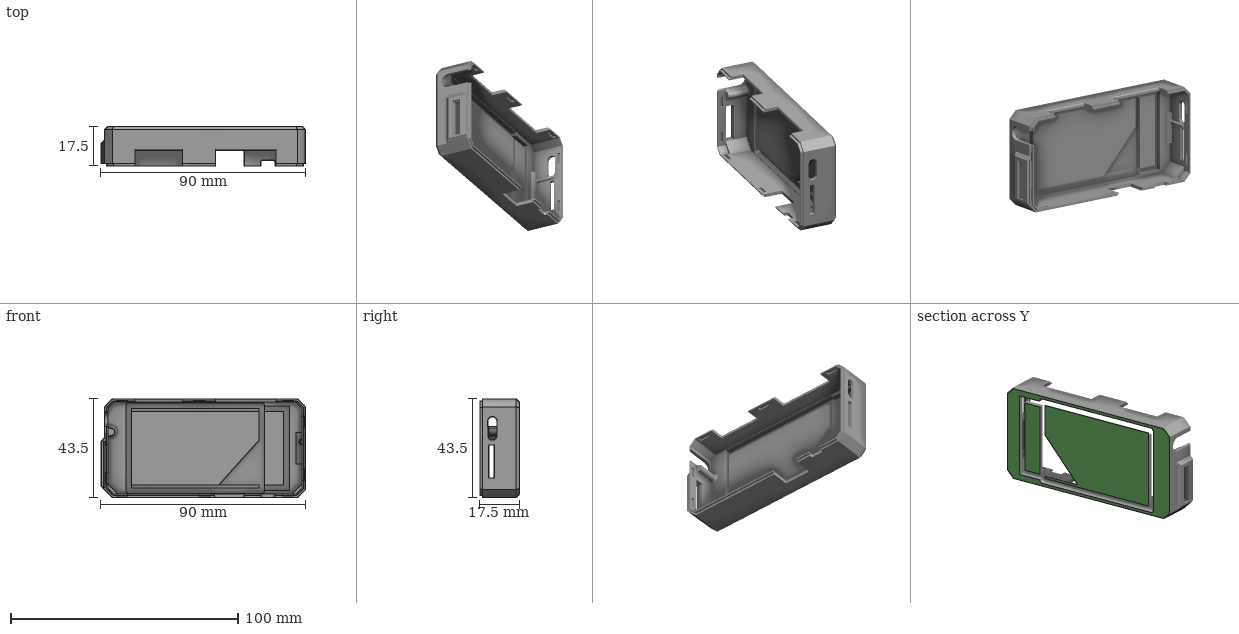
import cadquery as cq
import math


OVERALL_LENGTH = 90.0
GUIDE_PROTRUSION = 1.5
LENGTH = OVERALL_LENGTH - GUIDE_PROTRUSION
HEIGHT = 43.5
DEPTH = 17.5
CORNER = 3.5
BACK_CHAMFER = 1.5
WALL = 1.5
LIP_INSET = 0.9
LIP_DEPTH = 1.05
FLOOR_Y = 14.1
BOARD_Y = 4.0
OVERCUT = 1.0

INNER_RIGHT = LENGTH - WALL

DISPLAY_X = (9.4, 70.5)
DISPLAY_MARGIN = 1.8
DISPLAY_CORNER = 1.2
DISPLAY_FLOOR_Y = 16.7
CHANNEL_X_END = 81.5
CHANNEL_MARGIN = 3.2
CHANNEL_FLOOR_Y = 16.45
ISLAND_X_END = 78.8
SLAB_X = (11.8, 67.95)
SLAB_MARGIN = 5.65
SLAB_CUT_X = 50.4
SLAB_CUT_Z = 25.05
RIDGE_WIDTH = 1.35
RIDGE_HEIGHT = 0.8

TOP_NOTCHES_X = ((13.5, 34.35), (49.0, 75.6))
TOP_NOTCH_DEPTH = 6.8
TOP_NOTCH_ROUND = 0.6
BOTTOM_NOTCH_X = (48.4, 61.5)
BOTTOM_NOTCH_DEPTH = 9.3
PLUG_NOTCH_X = (68.85, 75.0)
PLUG_NOTCH_DEPTH = 2.5
PLUG_NOTCH_ROUND = 0.6

SNAP_LENGTH = 5.0
SNAP_END_Y = 2.5
SNAP_WALL_LEFT = 0.7
SNAP_END_OFFSET = 7.7
SNAP_TOP_MIDDLE_X = sum((TOP_NOTCHES_X[0][1], TOP_NOTCHES_X[1][0])) / 2
SNAP_BOTTOM_MIDDLE_X = 44.1
SNAP_RIGHT_OFFSET = 10.0
SNAP_LEFT_Z = (8.5, 25.7)

SIDE_SLOT_Z = (31.4, 37.85)
SIDE_SLOT_END_Y = 14.1
GUIDE_TOP = 26.3
GUIDE_BACK_Y = 11.45
GUIDE_STEP = 0.1
CARD_GAP_X = (-0.37, 0.17)
CARD_GAP_Z = (4.4, 24.7)
CARD_GAP_END_Y = 9.0
GUIDE_WINDOW_Y = (4.0, 7.9)
GUIDE_WINDOW_Z = (5.9, 23.05)
WALL_WINDOW_BOTTOM = 6.2

VENT_Y = (GUIDE_WINDOW_Y[0], 6.3)
VENT_Z = (8.7, GUIDE_WINDOW_Z[1])
RIGHT_HOLE_Y = 5.5
RIGHT_HOLE_WIDTH = 4.0
RIGHT_HOLE_Z = (25.4, 35.6)

LEFT_POST_X = 2.9
LEFT_POST_Z = 28.9
LEFT_POST_RADIUS = 1.6
LEFT_POST_FLARE = 1.4
PAD_Z = (14.85, 28.65)
PAD_WIDTH = 2.75
PAD_RISE = 1.45
PIN_Z = 24.6
PIN_RADIUS = 0.8
PIN_FLARE = 0.5
GUSSET_LEG = 4.5


def box(x_range, y_range, z_range):
    """Axis-aligned block from its limits."""
    size = [high - low for low, high in (x_range, y_range, z_range)]
    corner = (x_range[0], y_range[0], z_range[0])
    return cq.Workplane("XY").box(*size, centered=False).translate(corner)


def at_y(y):
    """Sketch plane in X and Z at the given Y; a negative extrusion goes toward +Y."""
    return cq.Workplane("XZ", origin=(0, y, 0))


def prism(points, y_range):
    """Straight prism along Y over a polygon in X and Z."""
    return at_y(y_range[0]).polyline(points).close().extrude(y_range[0] - y_range[1])


def case_outline(y, inset):
    """Chamfered outline of the body, moved inward by the inset, at the given Y."""
    corner = CORNER - inset * (2 - math.sqrt(2))
    left, right = inset, LENGTH - inset
    bottom, top = inset, HEIGHT - inset
    points = [
        (left + corner, bottom), (right - corner, bottom),
        (right, bottom + corner), (right, top - corner),
        (right - corner, top), (left + corner, top),
        (left, top - corner), (left, bottom + corner),
    ]
    return at_y(y).polyline(points).close()


def mirrored_range(margin):
    """Z limits at equal distances from the bottom and top faces."""
    return (margin, HEIGHT - margin)


def arc_inset(radius):
    """Distance of a quarter arc's midpoint from the two lines it is tangent to."""
    return radius * (1 - math.sqrt(0.5))


def shell():
    body = case_outline(LIP_DEPTH, 0).extrude(LIP_DEPTH - DEPTH)
    body = body.faces(">Y").chamfer(BACK_CHAMFER)
    lip = case_outline(0, LIP_INSET).extrude(-LIP_DEPTH)
    return body.union(lip).union(card_guide())


def cavity():
    return case_outline(-OVERCUT, WALL).extrude(-OVERCUT - FLOOR_Y)


def card_guide():
    """Two stacked layers on the left wall, bevelled at 45 degrees on the top, bottom and back."""
    middle = GUIDE_PROTRUSION / 2
    inner = card_guide_layer(0, middle, 0)
    return inner.union(card_guide_layer(middle, GUIDE_PROTRUSION, GUIDE_STEP))


def card_guide_layer(start, end, inset):
    """Slice of the guide between two distances out from the left face of the body."""
    foot_top = GUIDE_TOP - inset
    foot_bottom = CORNER + inset
    foot_back = GUIDE_BACK_Y - inset
    layer = prism(
        [
            (-start, foot_bottom + start), (-end, foot_bottom + end),
            (-end, foot_top - end), (-start, foot_top - start),
        ],
        (LIP_DEPTH, foot_back - start),
    )
    back_bevel = (
        cq.Workplane("XY")
        .polyline([(-start, foot_back - start), (-end, foot_back - end), (-end, foot_back - start)])
        .close()
        .extrude(HEIGHT)
    )
    return layer.cut(back_bevel)


def back_pockets():
    """Display pocket and the channel beside it, with the slab, island and ridges left standing."""
    display = box(DISPLAY_X, (FLOOR_Y - OVERCUT, DISPLAY_FLOOR_Y), mirrored_range(DISPLAY_MARGIN))
    display = display.edges("|Y").fillet(DISPLAY_CORNER)

    channel_y = (FLOOR_Y - OVERCUT, CHANNEL_FLOOR_Y)
    channel = box((DISPLAY_X[1], CHANNEL_X_END), channel_y, mirrored_range(CHANNEL_MARGIN))
    island = box((DISPLAY_X[1], ISLAND_X_END), (FLOOR_Y, CHANNEL_FLOOR_Y), mirrored_range(SLAB_MARGIN))

    slab_bottom, slab_top = mirrored_range(SLAB_MARGIN)
    slab = prism(
        [
            (SLAB_X[0], slab_bottom), (SLAB_CUT_X, slab_bottom),
            (SLAB_X[1], SLAB_CUT_Z), (SLAB_X[1], slab_top), (SLAB_X[0], slab_top),
        ],
        (FLOOR_Y, DISPLAY_FLOOR_Y),
    )
    pockets = display.cut(slab).union(channel.cut(island))
    ridge_y = (DISPLAY_FLOOR_Y - RIDGE_HEIGHT, DISPLAY_FLOOR_Y)
    for ridge_bottom in (slab_bottom - RIDGE_WIDTH, slab_top):
        pockets = pockets.cut(box(SLAB_X, ridge_y, (ridge_bottom, ridge_bottom + RIDGE_WIDTH)))
    return pockets


def top_notch(x_range):
    """Rim opening in the top wall whose inner end is rounded over at the outer face."""
    radius = TOP_NOTCH_ROUND
    end = TOP_NOTCH_DEPTH
    arc_middle = arc_inset(radius)
    return (
        cq.Workplane("YZ", origin=(x_range[0], 0, 0))
        .moveTo(-OVERCUT, HEIGHT - WALL - OVERCUT)
        .lineTo(end, HEIGHT - WALL - OVERCUT)
        .lineTo(end, HEIGHT - radius)
        .threePointArc((end + arc_middle, HEIGHT - arc_middle), (end + radius, HEIGHT))
        .lineTo(end + radius, HEIGHT + OVERCUT)
        .lineTo(-OVERCUT, HEIGHT + OVERCUT)
        .close()
        .extrude(x_range[1] - x_range[0])
    )


def bottom_notches():
    wall_z = (-OVERCUT, WALL + OVERCUT)
    wide = box(BOTTOM_NOTCH_X, (-OVERCUT, BOTTOM_NOTCH_DEPTH), wall_z)
    plug = box(PLUG_NOTCH_X, (-OVERCUT, PLUG_NOTCH_DEPTH), wall_z)
    return wide.union(plug.faces(">Y").edges("|Z").fillet(PLUG_NOTCH_ROUND))


def snap_recesses():
    """Shallow recesses just behind the lip, opening into the cavity."""
    y_range = (LIP_DEPTH, SNAP_END_Y)
    half = SNAP_LENGTH / 2
    low = (SNAP_WALL_LEFT, WALL + OVERCUT)
    top = (HEIGHT - low[1], HEIGHT - low[0])
    right = (LENGTH - low[1], LENGTH - low[0])
    ends_x = (SNAP_END_OFFSET, LENGTH - SNAP_END_OFFSET)

    recesses = []
    for z_range, middle_x in ((low, SNAP_BOTTOM_MIDDLE_X), (top, SNAP_TOP_MIDDLE_X)):
        for x in (*ends_x, middle_x):
            recesses.append(box((x - half, x + half), y_range, z_range))
    for x_range, centers_z in ((low, SNAP_LEFT_Z), (right, mirrored_range(SNAP_RIGHT_OFFSET))):
        for z in centers_z:
            recesses.append(box(x_range, y_range, (z - half, z + half)))
    return recesses


def side_slot():
    """Round-ended slot through the left wall, open at the rim, also clearing the post's wall flare."""
    bottom, top = SIDE_SLOT_Z
    radius = (top - bottom) / 2
    arc_y = SIDE_SLOT_END_Y - radius
    return (
        cq.Workplane("YZ", origin=(-OVERCUT, 0, 0))
        .moveTo(-OVERCUT, bottom)
        .lineTo(arc_y, bottom)
        .threePointArc((SIDE_SLOT_END_Y, bottom + radius), (arc_y, top))
        .lineTo(-OVERCUT, top)
        .close()
        .extrude(OVERCUT + LEFT_POST_X + LEFT_POST_RADIUS)
    )


def card_guide_openings():
    """Card gap open to the front, and the window from outside through the gap into the cavity."""
    gap = box(CARD_GAP_X, (0, CARD_GAP_END_Y), CARD_GAP_Z)
    window = box((-GUIDE_PROTRUSION - OVERCUT, CARD_GAP_X[1]), GUIDE_WINDOW_Y, GUIDE_WINDOW_Z)
    wall_window_z = (WALL_WINDOW_BOTTOM, GUIDE_WINDOW_Z[1])
    wall_window = box((CARD_GAP_X[1], WALL + OVERCUT), GUIDE_WINDOW_Y, wall_window_z)
    return gap.union(window).union(wall_window)


def right_wall_openings():
    """Rectangular vent and a round-ended hole above it."""
    vent = box((INNER_RIGHT - OVERCUT, LENGTH + OVERCUT), VENT_Y, VENT_Z)
    hole_bottom, hole_top = RIGHT_HOLE_Z
    hole = (
        cq.Workplane("YZ", origin=(INNER_RIGHT - OVERCUT, RIGHT_HOLE_Y, (hole_bottom + hole_top) / 2))
        .slot2D(hole_top - hole_bottom, RIGHT_HOLE_WIDTH, 90)
        .extrude(WALL + 2 * OVERCUT)
    )
    return vent.union(hole)


def flare_profile(radius, flare, base_y):
    """Half-section of a round post that flares out with a concave arc at its base."""
    outer = radius + flare
    arc_middle = arc_inset(flare)
    return (
        cq.Workplane("XY")
        .moveTo(0, BOARD_Y)
        .lineTo(radius, BOARD_Y)
        .lineTo(radius, base_y - flare)
        .threePointArc((radius + arc_middle, base_y - arc_middle), (outer, base_y))
        .lineTo(0, base_y)
        .close()
    )


def left_post():
    """Half-round post on the left wall, flared where it meets the wall and the back plate."""
    base = (LEFT_POST_X, 0, LEFT_POST_Z)
    profile = flare_profile(LEFT_POST_RADIUS, LEFT_POST_FLARE, FLOOR_Y)
    nose = profile.revolve(360, (0, 0, 0), (0, 1, 0)).translate(base)

    half_web = flare_profile(LEFT_POST_RADIUS, LEFT_POST_FLARE, FLOOR_Y).extrude(LEFT_POST_X - WALL)
    web = half_web.union(half_web.mirror("YZ"))
    web = web.rotate((0, 0, 0), (0, 1, 0), -90).translate(base)

    flare = LEFT_POST_FLARE
    arc_middle = arc_inset(flare)
    wall_flare = (
        at_y(BOARD_Y)
        .moveTo(WALL, 0)
        .lineTo(WALL, LEFT_POST_RADIUS + flare)
        .threePointArc(
            (WALL + arc_middle, LEFT_POST_RADIUS + arc_middle),
            (WALL + flare, LEFT_POST_RADIUS),
        )
        .lineTo(WALL + flare, 0)
        .close()
        .extrude(BOARD_Y - FLOOR_Y)
    )
    wall_flare = wall_flare.union(wall_flare.mirror("XY")).translate((0, 0, LEFT_POST_Z))
    inside = box((WALL, LENGTH / 2), (0, FLOOR_Y), (0, HEIGHT))
    return nose.union(web).union(wall_flare).intersect(inside)


def right_pad_and_pin():
    """Curved pad in the corner of the right wall and back plate, with a half-round pin on it."""
    pad_radius = (PAD_WIDTH**2 + PAD_RISE**2) / (2 * PAD_RISE)
    pad_front = FLOOR_Y - PAD_RISE
    pad = cq.Workplane("XY").circle(pad_radius).extrude(PAD_Z[1] - PAD_Z[0])
    pad = pad.translate((INNER_RIGHT, pad_front + pad_radius, PAD_Z[0]))
    pin = flare_profile(PIN_RADIUS, PIN_FLARE, pad_front).revolve(360, (0, 0, 0), (0, 1, 0))
    pin = pin.translate((INNER_RIGHT, 0, PIN_Z))
    inside = box((LENGTH / 2, INNER_RIGHT), (0, FLOOR_Y), (0, HEIGHT))
    return pad.union(pin).intersect(inside)


def gussets():
    """Triangular fillings in the two lower corners of the cavity, rooted halfway into the walls."""
    left = [(WALL, WALL), (WALL + GUSSET_LEG, WALL), (WALL, WALL + GUSSET_LEG)]
    right = [(LENGTH - x, z) for x, z in left]
    y_range = (BOARD_Y, FLOOR_Y)
    limits = case_outline(0, WALL / 2).extrude(-DEPTH)
    return prism(left, y_range).union(prism(right, y_range)).intersect(limits)


result = shell().cut(cavity()).cut(back_pockets())
result = result.union(left_post()).union(right_pad_and_pin()).union(gussets())
for notch_x in TOP_NOTCHES_X:
    result = result.cut(top_notch(notch_x))
result = result.cut(bottom_notches())
for recess in snap_recesses():
    result = result.cut(recess)
result = result.cut(side_slot()).cut(card_guide_openings()).cut(right_wall_openings())